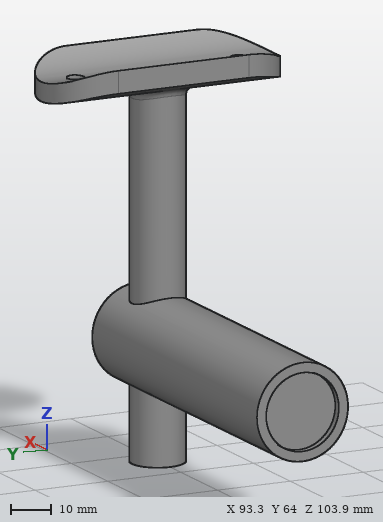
import cadquery as cq
import math

bar_diameter = 25.0
bar_length = 90.1
bar_height = 30.2
dome_rise = 3.2
recess_diameter = 20.0
recess_depth = 2.0

saddle_width = 28.3
saddle_length = 64.0
saddle_radius = 25.0
saddle_thickness = 5.0
saddle_top = 103.9
screw_hole_diameter = 4.5
screw_hole_spacing = 45.0

pin_diameter = 14.0
weld_size = 2.0

saddle_center_x = bar_length + dome_rise - saddle_width / 2
saddle_axis_height = saddle_top + math.sqrt(saddle_radius**2 - (saddle_width / 2) ** 2)
saddle_underside_radius = saddle_radius + saddle_thickness
saddle_underside = saddle_axis_height - saddle_underside_radius


def make_bar():
    """Round bar with a domed far end and a shallow recess in the near end."""
    radius = bar_diameter / 2
    dome_radius = (radius**2 + dome_rise**2) / (2 * dome_rise)
    dome_tip = bar_length + dome_rise
    dome_center = dome_tip - dome_radius
    half_angle = math.asin(radius / dome_radius) / 2
    dome_middle = (
        dome_center + dome_radius * math.cos(half_angle),
        dome_radius * math.sin(half_angle),
    )
    profile = (
        cq.Workplane("XY")
        .moveTo(recess_depth, 0)
        .lineTo(recess_depth, recess_diameter / 2)
        .lineTo(0, recess_diameter / 2)
        .lineTo(0, radius)
        .lineTo(bar_length, radius)
        .threePointArc(dome_middle, (dome_tip, 0))
        .close()
    )
    bar = profile.revolve(360, (0, 0, 0), (1, 0, 0))
    return bar.translate((0, 0, bar_height))


def make_saddle_cylinder(radius):
    """Cylinder on the bending axis of the saddle, long enough to span it."""
    return (
        cq.Workplane("XZ")
        .center(saddle_center_x, saddle_axis_height)
        .circle(radius)
        .extrude(saddle_length, both=True)
    )


def make_saddle():
    """Slot-shaped outline cut from a bent plate of constant thickness."""
    outline = (
        cq.Workplane("XY", origin=(saddle_center_x, 0, saddle_underside))
        .slot2D(saddle_length, saddle_width, 90)
        .extrude(saddle_axis_height - saddle_underside)
    )
    shell = make_saddle_cylinder(saddle_underside_radius).cut(make_saddle_cylinder(saddle_radius))
    return outline.intersect(shell)


def make_pin():
    """Pin that ends inside the thickness of the saddle."""
    pin_top = saddle_underside + saddle_thickness / 2
    return cq.Workplane("XY").center(saddle_center_x, 0).circle(pin_diameter / 2).extrude(pin_top)


def make_screw_holes():
    """Two vertical holes through the saddle, on its long centre line."""
    return (
        cq.Workplane("XY", origin=(saddle_center_x, 0, saddle_underside))
        .rarray(1, screw_hole_spacing, 1, 2)
        .circle(screw_hole_diameter / 2)
        .extrude(saddle_top - saddle_underside)
    )


joint_edge = cq.selectors.BoxSelector(
    (saddle_center_x - pin_diameter, -pin_diameter, saddle_underside - saddle_thickness),
    (saddle_center_x + pin_diameter, pin_diameter, saddle_underside + saddle_thickness / 2),
    boundingbox=True,
)
handrail_top = make_saddle().union(make_pin()).edges(joint_edge).fillet(weld_size)

result = handrail_top.cut(make_screw_holes()).union(make_bar())